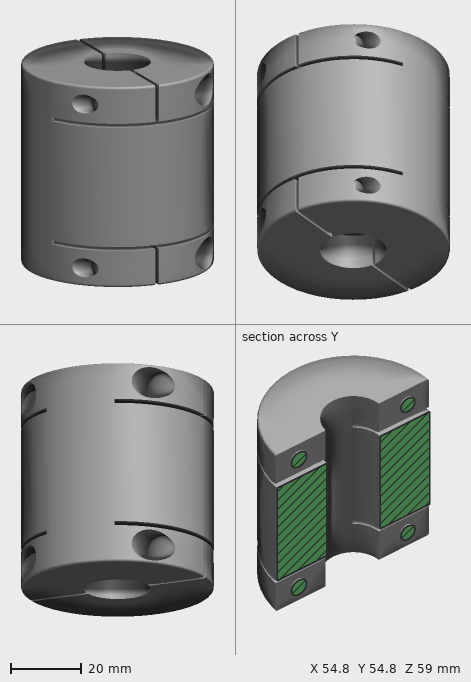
import cadquery as cq
import math

length = 59.0
outer_diameter = 54.8
outer_radius = outer_diameter / 2
bore_radius = 9.5
edge_fillet = 0.7

hub_length = 10.75
slot_height = 1.2
gap_width = 1.2

slot_arc_center = 64.9
slot_edge_x = 10.6
slot_edge_y = math.sqrt(outer_radius**2 - slot_edge_x**2)
slot_arc_radius = math.hypot(slot_arc_center - slot_edge_x, slot_edge_y)

screw_offset = 19.45
screw_hole_radius = 2.8
screw_hole_floor = -15.7
head_bore_radius = 4.55
head_bore_floor = 12.4

shank_radius = 2.6
tip_position = -16.35
tip_chamfer = 0.6

hub_middle = (length - hub_length) / 2
slot_middle = length / 2 - hub_length - slot_height / 2


def cylinder_along_y(radius, x, z, y_start, y_end):
    """Round bar parallel to Y between two y positions."""
    axis = cq.Vector(0, 1, 0)
    return cq.Workplane(cq.Solid.makeCylinder(radius, y_end - y_start, cq.Vector(x, y_start, z), axis))


def make_body():
    body = cq.Workplane("XY").circle(outer_radius).extrude(length / 2, both=True)
    body = body.edges("%CIRCLE").fillet(edge_fillet)
    return body.cut(cq.Workplane("XY").circle(bore_radius).extrude(length / 2, both=True))


def relief_slots(z):
    """Thin discs entering from -X and +X that leave two webs between hub and body."""
    return (
        cq.Workplane("XY", origin=(0, 0, z))
        .pushPoints([(-slot_arc_center, 0), (slot_arc_center, 0)])
        .circle(slot_arc_radius)
        .extrude(slot_height / 2, both=True)
    )


def hub_gap(z):
    return cq.Workplane("XY", origin=(0, 0, z)).box(outer_diameter, gap_width, hub_length)


def screw_holes(x, z):
    """Screw hole open to -Y and head counterbore open to +Y."""
    hole = cylinder_along_y(screw_hole_radius, x, z, -outer_radius, screw_hole_floor)
    head_bore = cylinder_along_y(head_bore_radius, x, z, head_bore_floor, outer_radius)
    return hole.union(head_bore)


def make_shank(x, z):
    shank = cylinder_along_y(shank_radius, x, z, tip_position, gap_width)
    return shank.faces("<Y").chamfer(tip_chamfer)


def make_plain_screw(x, z):
    """Screw as wide as its hole, bridging the hub gap and ending at the hole floor."""
    return cylinder_along_y(screw_hole_radius, x, z, screw_hole_floor, gap_width)


result = make_body()
for side in (-1, 1):
    hub_z = side * hub_middle
    result = result.cut(relief_slots(side * slot_middle)).cut(hub_gap(hub_z))
    for screw_x in (-screw_offset, screw_offset):
        result = result.cut(screw_holes(screw_x, hub_z))
    result = result.union(make_shank(-screw_offset, hub_z))
    result = result.union(make_plain_screw(screw_offset, hub_z))